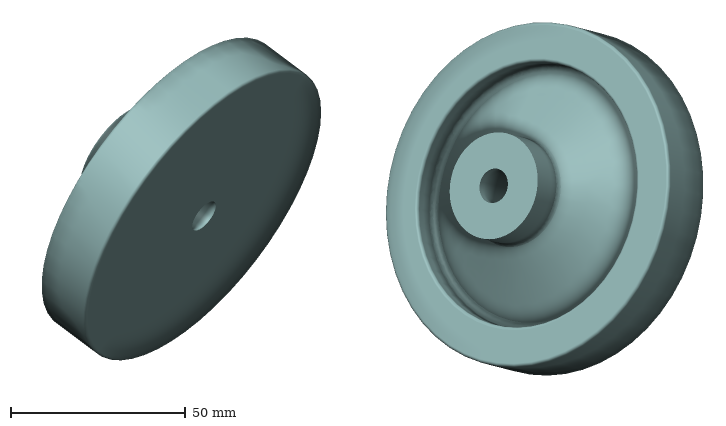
import cadquery as cq
import math

wheel_diameter = 100.0
total_length = 34.0
rim_width = 17.7
recess_diameter = 77.0
hub_diameter = 31.0
hub_length = 10.0
bore_diameter = 10.0
cone_half_angle = 57.0
rim_edge_radius = 0.9
root_radius = 1.5

wheel_radius = wheel_diameter / 2
recess_radius = recess_diameter / 2
hub_radius = hub_diameter / 2

hub_face_x = -total_length / 2
back_x = total_length / 2
rim_face_x = back_x - rim_width
cone_start_x = hub_face_x + hub_length
cone_length = (recess_radius - hub_radius) / math.tan(math.radians(cone_half_angle))
cone_end_x = cone_start_x + cone_length


def circles_at(x, radius):
    """Select the circular edges at axial position x, up to the given radius."""
    tolerance = 0.01
    return cq.selectors.BoxSelector(
        (x - tolerance, -radius - tolerance, -radius - tolerance),
        (x + tolerance, radius + tolerance, radius + tolerance),
        boundingbox=True,
    )


wheel = (
    cq.Workplane("XY")
    .moveTo(hub_face_x, 0)
    .lineTo(hub_face_x, hub_radius)
    .lineTo(cone_start_x, hub_radius)
    .lineTo(cone_end_x, recess_radius)
    .lineTo(rim_face_x, recess_radius)
    .lineTo(rim_face_x, wheel_radius)
    .lineTo(back_x, wheel_radius)
    .lineTo(back_x, 0)
    .close()
    .revolve(360, (0, 0, 0), (1, 0, 0))
)

for x in (rim_face_x, back_x):
    wheel = wheel.edges(circles_at(x, wheel_radius)).fillet(rim_edge_radius)

for x, radius in ((cone_start_x, hub_radius), (cone_end_x, recess_radius)):
    wheel = wheel.edges(circles_at(x, radius)).fillet(root_radius)

bore = (
    cq.Workplane("YZ", origin=(hub_face_x, 0, 0))
    .circle(bore_diameter / 2)
    .extrude(total_length)
)

result = wheel.cut(bore)